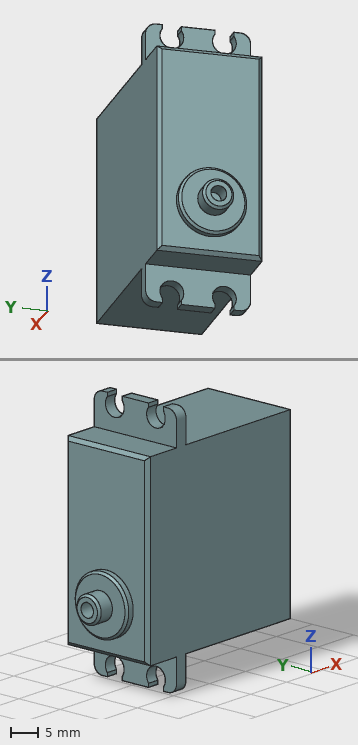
import cadquery as cq

total_length = 44.95
case_width = 20.0
case_height = 40.0
overall_height = 54.4

case_front = 5.35
case_chamfer = 0.75

lug_front = 13.35
lug_thickness = 2.6
lug_corner_radius = 2.0
hole_diameter = 4.5
hole_spacing = 10.0
hole_edge_distance = 2.2
hole_mouth_width = 3.6

collar_front = 3.6
collar_diameter = 13.0
shaft_diameter = 5.95
shaft_z = -10.0
round_chamfer = 0.5
bore_diameter = 3.0
bore_depth = 3.6


def block(x_start, length, height):
    """Full-width block centred on Y and Z."""
    return cq.Workplane("XY").box(length, case_width, height).translate((x_start + length / 2, 0, 0))


def cylinder(x_start, x_end, diameter):
    """Cylinder along X on the shaft axis."""
    plane = cq.Workplane("YZ", origin=(x_start, 0, shaft_z))
    return plane.circle(diameter / 2).extrude(x_end - x_start)


def chamfered_cylinder(x_start, x_end, diameter):
    """Cylinder on the shaft axis with a chamfered front rim."""
    return cylinder(x_start, x_end, diameter).faces("<X").chamfer(round_chamfer)


def open_hole(y, side):
    """Screw hole at the given Y, open to the top (side=1) or bottom (side=-1) edge."""
    hole_z = side * (overall_height / 2 - hole_edge_distance)
    mouth_z = side * (overall_height - hole_edge_distance) / 2
    plane = cq.Workplane("YZ", origin=(lug_front, 0, 0))
    hole = plane.center(y, hole_z).circle(hole_diameter / 2).extrude(lug_thickness)
    mouth = plane.center(y, mouth_z).rect(hole_mouth_width, hole_edge_distance).extrude(lug_thickness)
    return hole.union(mouth)


case = block(case_front, total_length - case_front, case_height)
case = case.faces("<X").chamfer(case_chamfer)

lugs = block(lug_front, lug_thickness, overall_height).edges("|X").fillet(lug_corner_radius)
for side in (-1, 1):
    for y in (-hole_spacing / 2, hole_spacing / 2):
        lugs = lugs.cut(open_hole(y, side))

collar = chamfered_cylinder(collar_front, case_front, collar_diameter)
shaft = chamfered_cylinder(0, collar_front, shaft_diameter)
bore = cylinder(0, bore_depth, bore_diameter)

result = case.union(lugs).union(collar).union(shaft).cut(bore)